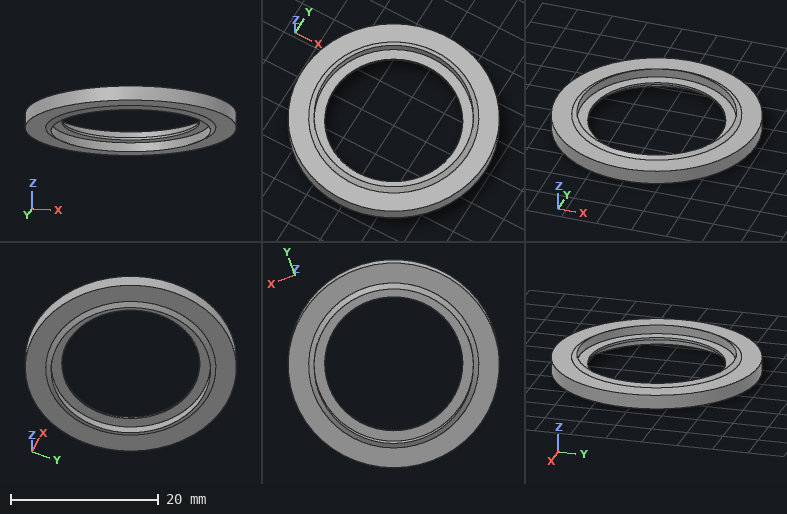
import cadquery as cq

washer_diameter = 28.58
washer_thickness = 2.0
seat_diameter = 23.0
seal_height = 2.8
lip_diameter = 21.55
web_bore_diameter = 18.63
web_thickness = 0.31


def make_washer():
    """Flat outer ring that carries the seal in its bore."""
    return (
        cq.Workplane("XY", origin=(0, 0, -washer_thickness / 2))
        .circle(washer_diameter / 2)
        .circle(seat_diameter / 2)
        .extrude(washer_thickness)
    )


def make_seal():
    """Seal ring with sharp conical lips above and below, and a thin central web."""
    seat_radius = seat_diameter / 2
    lip_radius = lip_diameter / 2
    web_radius = web_bore_diameter / 2
    half_seat = washer_thickness / 2
    half_seal = seal_height / 2
    half_web = web_thickness / 2

    section = [
        (seat_radius, -half_seat),
        (seat_radius, half_seat),
        (lip_radius, half_seal),
        (lip_radius, half_web),
        (web_radius, half_web),
        (web_radius, -half_web),
        (lip_radius, -half_web),
        (lip_radius, -half_seal),
    ]
    return cq.Workplane("XZ").polyline(section).close().revolve(360, (0, 0, 0), (0, 1, 0))


washer = make_washer()
seal = make_seal()

result = cq.Compound.makeCompound([washer.val(), seal.val()])